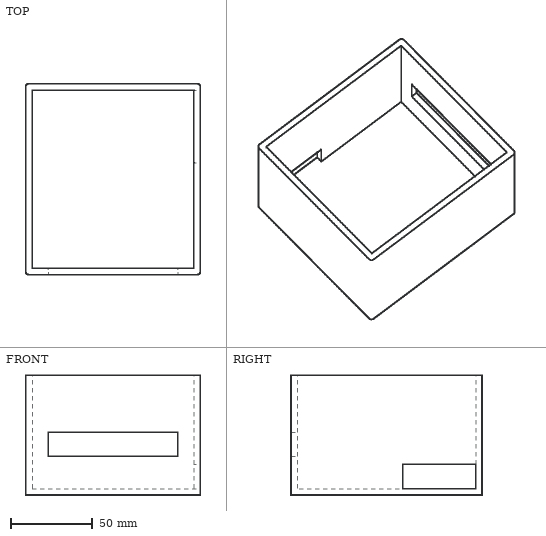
import cadquery as cq

width = 108.0
depth = 118.0
height = 74.0
wall = 4.0
floor = wall
corner_radius = 2.0

slot_width = 80.0
slot_height = 15.0
slot_bottom = 24.0

window_length = 45.0
window_height = slot_height

inner_width = width - 2 * wall
inner_depth = depth - 2 * wall


def block(size_x, size_y, size_z, center_x, center_y, bottom):
    """Box given by its size, its plan centre and its bottom level."""
    plan = cq.Workplane("XY", origin=(center_x, center_y, bottom))
    return plan.rect(size_x, size_y).extrude(size_z)


def shell():
    outside = block(width, depth, height, 0, 0, 0).edges("|Z").fillet(corner_radius)
    cavity = block(inner_width, inner_depth, height - floor, 0, 0, floor)
    return outside.cut(cavity)


def front_slot():
    return block(slot_width, 2 * wall, slot_height, 0, -depth / 2, slot_bottom)


def side_window():
    center_y = inner_depth / 2 - window_length / 2
    return block(2 * wall, window_length, window_height, width / 2, center_y, floor)


result = shell().cut(front_slot()).cut(side_window())